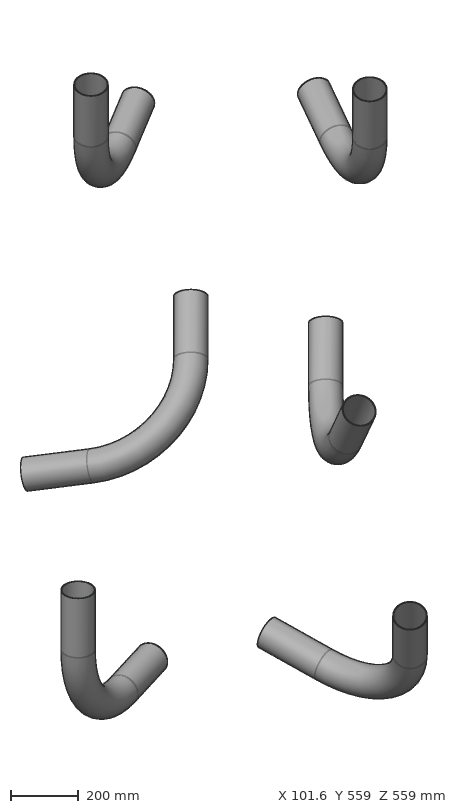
import cadquery as cq
import math

overall_length = 559.0
bore_diameter = 95.5
bend_ratio = 3.0
straight_ratio = 2.0

outer_diameter = overall_length / (straight_ratio + bend_ratio + 0.5)
bend_radius = bend_ratio * outer_diameter
leg_length = straight_ratio * outer_diameter

leg_end = bend_radius + leg_length
bend_middle = bend_radius * (1 - math.sqrt(0.5))

centreline = (
    cq.Workplane("YZ")
    .moveTo(0, leg_end)
    .lineTo(0, bend_radius)
    .threePointArc((bend_middle, bend_middle), (bend_radius, 0))
    .lineTo(leg_end, 0)
)

result = (
    cq.Workplane("XY", origin=(0, 0, leg_end))
    .circle(outer_diameter / 2)
    .circle(bore_diameter / 2)
    .sweep(centreline)
)